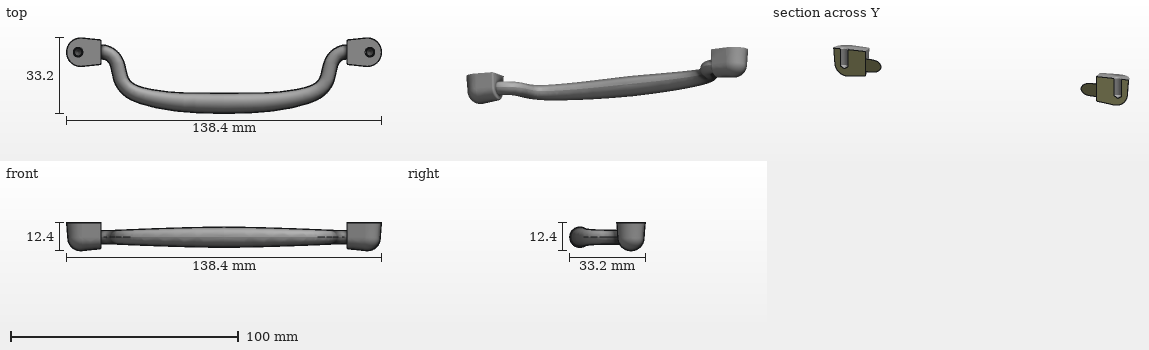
import cadquery as cq
import math

overall_length = 138.42
overall_height = 12.43

foot_length = 15.2
foot_end_radius = 6.3
foot_draft = 0.52
foot_side_taper = 6.0
foot_corner_radius = 0.8
dome_radius = foot_end_radius - foot_draft
wall_depth = overall_height - dome_radius

foot_outer_x = overall_length / 2
foot_inner_x = foot_outer_x - foot_length
foot_centre_x = foot_outer_x - foot_end_radius

hole_x = foot_outer_x - 5.1
hole_diameter = 3.24
hole_mouth_diameter = 4.2
countersink_depth = (hole_mouth_diameter - hole_diameter) / 2
hole_depth = 8.0
hole_tip_angle = 118.0

bar_axis_z = -6.43
bar_end_radius = 3.0
bar_middle_radius = 4.5
bar_offset = 22.43
bar_swell_reach = 49.0
bar_swell_power = 1.5
bend_radius = 6.8
bend_start_x = 53.6
leg_lean = math.radians(17.0)
bow_points = [(26.6, -21.1), (36.4, -18.95), (41.2, -16.85)]
leg_foot_y = -13.6
bar_sections = 15


def foot_outline_points(radius):
    """Tangent point and inner corner of the outline on the +Y side."""
    slope = math.radians(foot_side_taper)
    tangent_x = foot_centre_x - radius * math.sin(slope)
    tangent_y = radius * math.cos(slope)
    corner_y = tangent_y - (tangent_x - foot_inner_x) * math.tan(slope)
    return (tangent_x, tangent_y), (foot_inner_x, corner_y)


def foot_outline(workplane, radius):
    """Plan outline: a round end running into two converging sides."""
    (tangent_x, tangent_y), (corner_x, corner_y) = foot_outline_points(radius)
    return (
        workplane.moveTo(corner_x, -corner_y)
        .lineTo(tangent_x, -tangent_y)
        .threePointArc((foot_centre_x + radius, 0), (tangent_x, tangent_y))
        .lineTo(corner_x, corner_y)
        .close()
    )


def foot_walls():
    """Drafted upper part of the foot."""
    lower = foot_outline(cq.Workplane("XY").workplane(offset=-wall_depth), dome_radius)
    return foot_outline(lower.workplane(offset=wall_depth), foot_end_radius).loft(ruled=True)


def foot_dome():
    """Lower part: half of the plan outline revolved about its own axis."""
    tangent, corner = foot_outline_points(dome_radius)
    middle = math.radians(45)
    arc_middle = (foot_centre_x + dome_radius * math.cos(middle), dome_radius * math.sin(middle))
    round_body = (
        cq.Workplane("XY", origin=(0, 0, -wall_depth))
        .moveTo(foot_inner_x, 0)
        .lineTo(*corner)
        .lineTo(*tangent)
        .threePointArc(arc_middle, (foot_centre_x + dome_radius, 0))
        .close()
        .revolve(360, (0, 0, 0), (1, 0, 0))
    )
    upper_half = cq.Workplane("XY", origin=(foot_centre_x, 0, -wall_depth)).box(
        2 * foot_length, 2 * foot_length, foot_length, centered=(True, True, False)
    )
    return round_body.cut(upper_half)


def screw_hole():
    """Blind drilled hole with a 45 degree countersink and a drill-point bottom."""
    radius = hole_diameter / 2
    mouth_radius = hole_mouth_diameter / 2
    tip = radius / math.tan(math.radians(hole_tip_angle / 2))
    return (
        cq.Workplane("XZ", origin=(hole_x, 0, 0))
        .polyline([
            (0, 0),
            (mouth_radius, 0),
            (radius, -countersink_depth),
            (radius, -hole_depth),
            (0, -hole_depth - tip),
        ])
        .close()
        .revolve(360, (0, 0, 0), (0, 1, 0))
    )


def make_foot():
    """Walls on a dome, with the rim of the inner end rounded."""
    body = foot_walls().union(foot_dome())
    inner_rim = body.faces("<X").edges("not >Z")
    return inner_rim.fillet(foot_corner_radius).cut(screw_hole())


def bar_radius(x):
    """Radius of the bar at x: thick at mid-span, slimming to the ends."""
    reach = min(abs(x) / bar_swell_reach, 1.0)
    swell = bar_middle_radius - bar_end_radius
    return bar_middle_radius - swell * reach ** bar_swell_power


def bar_centre_line():
    """Bow, leg, bend and straight stub of the +X half, from mid-span to the foot."""
    bend_centre_y = -bend_radius
    bend_end = (
        bend_start_x - bend_radius * math.cos(leg_lean),
        bend_centre_y + bend_radius * math.sin(leg_lean),
    )
    half_turn = (math.pi / 2 - leg_lean) / 2
    bend_middle = (
        bend_start_x - bend_radius * math.sin(half_turn),
        bend_centre_y + bend_radius * math.cos(half_turn),
    )
    leg_foot_x = bend_end[0] - (bend_end[1] - leg_foot_y) * math.tan(leg_lean)

    points = [
        (0, -bar_offset),
        *bow_points,
        (leg_foot_x, leg_foot_y),
        bend_end,
        bend_middle,
        (bend_start_x, 0),
        (foot_inner_x, 0),
    ]
    along_x = cq.Vector(1, 0, 0)
    return cq.Edge.makeSpline([cq.Vector(x, y, bar_axis_z) for x, y in points], tangents=[along_x, along_x])


def bar_section(centre_line, fraction):
    """Circle square to the centre line, made of an upper and a lower half."""
    centre = centre_line.positionAt(fraction)
    tangent = centre_line.tangentAt(fraction)
    radius = bar_radius(centre.x)
    outer_side = tangent.cross(cq.Vector(0, 0, 1))
    plane = cq.Plane(centre, outer_side, tangent)
    halves = [
        cq.Edge.makeCircle(radius, angle1=0, angle2=180),
        cq.Edge.makeCircle(radius, angle1=180, angle2=360),
    ]
    return cq.Wire.assembleEdges([half.moved(cq.Location(plane)) for half in halves])


def make_bar():
    """Loft one half along the centre line and mirror it."""
    centre_line = bar_centre_line()
    sections = [bar_section(centre_line, i / bar_sections) for i in range(bar_sections + 1)]
    half = cq.Workplane(cq.Solid.makeLoft(sections))
    return half.union(half.mirror("YZ"), clean=False)


right_foot = make_foot()
left_foot = right_foot.mirror("YZ")
bar = make_bar()

result = cq.Compound.makeCompound([right_foot.val(), left_foot.val(), bar.val()])